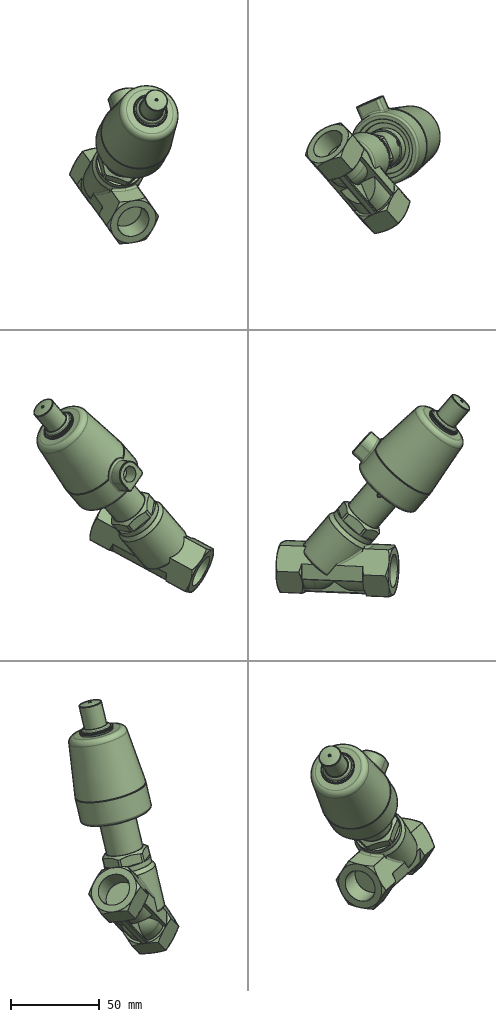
import cadquery as cq
import math

STEM_ANGLE = 50.0
SIN_STEM = math.sin(math.radians(STEM_ANGLE))
COS_STEM = math.cos(math.radians(STEM_ANGLE))

PIPE_LENGTH = 65.0
PIPE_START = -21.4
PIPE_END = PIPE_START + PIPE_LENGTH
HEX_FLATS = 27.0
HEX_CORNERS = HEX_FLATS / math.cos(math.radians(30))
HEX_LENGTH = 15.0
HEX_CHAMFER_ANGLE = 30.0
PORT_DIAMETER = 18.7
PORT_DEPTH = 12.7
WAIST_WIDTH = 26.2
WAIST_BOTTOM = -4.5
WAIST_OVERLAP = 2.3
TUNNEL_RADIUS = 12.0
RIB_WIDTH = 4.0
RIB_CHAMFER = 0.6

BARREL_RADIUS = 15.0
BARREL_BOTTOM = 3.5
BARREL_TOP = 30.8
BARREL_BOTTOM_FILLET = 1.2
BARREL_CHAMFER_HEIGHT = 2.5
BARREL_CHAMFER_WIDTH = 1.5
BARREL_ROOT_FILLET = 1.2

NUT_RADIUS = BARREL_RADIUS - BARREL_CHAMFER_WIDTH
NUT_FLATS = 24.0
NUT_HEX_BOTTOM = 34.0
NUT_SHOULDER = 39.0
NUT_TOP = 40.6
NUT_TOP_RADIUS = 10.8
SEAM_TURN = 10.0

TUBE_RADIUS = 10.49
VENT_DIAMETER = 2.5
VENT_HEIGHT = 58.6
VENT_DEPTH = 2.3

ACTUATOR_RADIUS = 20.5
SLEEVE_RADIUS = 11.4
SLEEVE_BOTTOM = 59.3
BASE_BOTTOM = 61.7
BASE_FILLET = 1.4
RECESS_RADIUS = 16.98
RECESS_DEPTH = 1.5
INNER_RECESS_RADIUS = 14.6
INNER_RECESS_DEPTH = 4.0
SEAM_HEIGHT = 76.7
SEAM_WIDTH = 0.5
SEAM_DEPTH = 0.2

BOSS_RADIUS = 7.36
BOSS_CENTER = 72.8
BOSS_BOTTOM = 65.3
BOSS_REACH = 27.7
BOSS_CORNER_FILLET = 1.7
BOSS_EDGE_CHAMFER = 0.5
BOSS_ROOT_FILLET = 1.2
BOSS_CLEARANCE = 1.4
AIR_HOLE_DIAMETER = 9.0
AIR_HOLE_DEPTH = 8.1

CAP_TOP = 111.6
CAP_TOP_RADIUS = 16.6
CAP_FILLET = 3.5

STEM_RADIUS = 6.5
STEM_CHAMFER = 0.3
STEM_TOP = 128.5
DOME_HEIGHT = 0.7
TIP_HOLE_DIAMETER = 1.5
TIP_HOLE_DEPTH = 1.2

STEM_PLANE = cq.Plane(
    origin=(0, 0, 0),
    xDir=(-SIN_STEM, 0, COS_STEM),
    normal=(COS_STEM, 0, SIN_STEM),
)


def tilt(part):
    """Move a part from the stem frame to its place on the valve."""
    return cq.Workplane(obj=part.val().moved(cq.Location(STEM_PLANE)))


def cylinder(radius, bottom, top):
    return cq.Workplane("XY").workplane(offset=bottom).circle(radius).extrude(top - bottom)


def revolved(profile):
    """Revolve a (radius, height) outline about the local Z axis, with the seam on the -X side."""
    outline = [(-radius, height) for radius, height in profile]
    return cq.Workplane("XZ").polyline(outline).close().revolve(360, (0, 0, 0), (0, 1, 0))


def x_cylinder(radius, start, end):
    return cq.Workplane("YZ").workplane(offset=start).circle(radius).extrude(end - start)


def x_hexagon(start, end):
    """Hexagon bar along X with flats at top and bottom."""
    return cq.Workplane("YZ").workplane(offset=start).polygon(6, HEX_CORNERS).extrude(end - start)


def hexagon_end(start):
    """Hexagon with conical chamfers on the corners of both ends."""
    end = start + HEX_LENGTH
    face_radius = HEX_FLATS / 2
    corner_radius = HEX_CORNERS / 2
    chamfer_length = (corner_radius - face_radius) * math.tan(math.radians(HEX_CHAMFER_ANGLE))
    envelope = (
        cq.Workplane("XZ")
        .polyline([
            (start, 0),
            (start, face_radius),
            (start + chamfer_length, corner_radius),
            (end - chamfer_length, corner_radius),
            (end, face_radius),
            (end, 0),
        ])
        .close()
        .revolve(360, (0, 0, 0), (1, 0, 0))
    )
    return x_hexagon(start, end).intersect(envelope)


def waist():
    """Flat-sided block between the hexagon ends, with the hexagon's roof."""
    start = PIPE_START + HEX_LENGTH - WAIST_OVERLAP
    length = PIPE_LENGTH - 2 * (HEX_LENGTH - WAIST_OVERLAP)
    height = HEX_FLATS / 2 - WAIST_BOTTOM
    block = cq.Workplane("XY").box(length, WAIST_WIDTH, height, centered=(False, True, False))
    block = block.translate((start, 0, WAIST_BOTTOM))
    return x_hexagon(start, start + length).intersect(block)


def barrel():
    shoulder = BARREL_TOP - BARREL_CHAMFER_HEIGHT
    outline = revolved([
        (0, BARREL_BOTTOM),
        (BARREL_RADIUS, BARREL_BOTTOM),
        (BARREL_RADIUS, shoulder),
        (NUT_RADIUS, BARREL_TOP),
        (0, BARREL_TOP),
    ])
    return tilt(outline.faces("<Z").edges().fillet(BARREL_BOTTOM_FILLET))


def passages():
    """Inlet passage with a ball end, and outlet passage cut off in the plane of the barrel bottom."""
    inlet = x_cylinder(TUNNEL_RADIUS, PIPE_START + HEX_LENGTH, 0)
    inlet = inlet.union(cq.Workplane("XY").sphere(TUNNEL_RADIUS))
    outlet = x_cylinder(TUNNEL_RADIUS, 0, PIPE_END - HEX_LENGTH)
    above_seat = tilt(cylinder(PIPE_LENGTH, BARREL_BOTTOM, BARREL_BOTTOM + PIPE_LENGTH))
    return inlet.union(outlet.intersect(above_seat))


def rib():
    """Web under the passages, joining the hexagon ends."""
    length = PIPE_LENGTH - 2 * HEX_LENGTH
    height = HEX_FLATS / 2 + WAIST_BOTTOM
    web = cq.Workplane("XY").box(length, RIB_WIDTH, height, centered=(False, True, False))
    web = web.faces("<Z").edges("|X").chamfer(RIB_CHAMFER)
    return web.translate((PIPE_START + HEX_LENGTH, 0, -HEX_FLATS / 2))


def barrel_root_edges():
    """Selector for the curved edges where the outlet side of the barrel leaves the roof of the waist."""
    roof_height = HEX_FLATS / 2
    return cq.selectors.BoxSelector(
        (0, -WAIST_WIDTH / 2 - 0.1, 0),
        (PIPE_END - HEX_LENGTH + WAIST_OVERLAP, WAIST_WIDTH / 2 + 0.1, roof_height + 0.1),
        boundingbox=True,
    )


def make_body():
    body = hexagon_end(PIPE_START).union(hexagon_end(PIPE_END - HEX_LENGTH))
    body = body.union(waist()).union(passages()).union(rib()).union(barrel())
    body = body.edges("%ELLIPSE").edges(barrel_root_edges()).fillet(BARREL_ROOT_FILLET)
    port_radius = PORT_DIAMETER / 2
    body = body.cut(x_cylinder(port_radius, PIPE_START, PIPE_START + PORT_DEPTH))
    return body.cut(x_cylinder(port_radius, PIPE_END - PORT_DEPTH, PIPE_END))


def make_nut():
    """Round collar below a chamfered hexagon, bored for the tube."""
    envelope = revolved([
        (0, BARREL_TOP),
        (NUT_RADIUS, BARREL_TOP),
        (NUT_RADIUS, NUT_SHOULDER),
        (NUT_TOP_RADIUS, NUT_TOP),
        (0, NUT_TOP),
    ])
    corners = NUT_FLATS / math.cos(math.radians(30))
    hexagon = (
        cq.Workplane("XY")
        .workplane(offset=NUT_HEX_BOTTOM)
        .polygon(6, corners)
        .extrude(NUT_TOP - NUT_HEX_BOTTOM)
    )
    envelope = envelope.rotate((0, 0, 0), (0, 0, 1), SEAM_TURN)
    collar = cylinder(NUT_RADIUS, BARREL_TOP, NUT_HEX_BOTTOM).rotate((0, 0, 0), (0, 0, 1), SEAM_TURN)
    bore = cylinder(TUBE_RADIUS, BARREL_TOP, NUT_TOP)
    return tilt(hexagon.intersect(envelope).union(collar).cut(bore))


def make_tube():
    """Tube standing on the barrel, with a vent hole in its -Y side below the sleeve."""
    tube = cylinder(TUBE_RADIUS, BARREL_TOP, BASE_BOTTOM + INNER_RECESS_DEPTH)
    vent = (
        cq.Workplane("XZ", origin=(0, TUBE_RADIUS, VENT_HEIGHT))
        .circle(VENT_DIAMETER / 2)
        .extrude(VENT_DEPTH)
    )
    return tilt(tube.cut(vent))


def boss_prism(start, margin=0.0):
    """Arch-shaped block pointing along local X, grown all round by the margin."""
    half_width = BOSS_RADIUS + margin
    return (
        cq.Workplane("YZ", origin=(start, 0, 0))
        .moveTo(-half_width, BOSS_BOTTOM - margin)
        .lineTo(half_width, BOSS_BOTTOM - margin)
        .lineTo(half_width, BOSS_CENTER)
        .threePointArc((0, BOSS_CENTER + half_width), (-half_width, BOSS_CENTER))
        .close()
        .extrude(BOSS_REACH - start)
    )


def boss_zone():
    """Space kept for the air connection and the fillet at its root."""
    return boss_prism(ACTUATOR_RADIUS / 2, BOSS_CLEARANCE)


def air_connection():
    """Boss with rounded root, together with the piece of actuator wall that carries it."""
    boss = boss_prism(0)
    boss = boss.edges("|X and <Z").fillet(BOSS_CORNER_FILLET)
    boss = boss.faces(">X").edges().chamfer(BOSS_EDGE_CHAMFER)
    boss_top = BOSS_CENTER + BOSS_RADIUS
    wall = revolved([
        (0, BASE_BOTTOM),
        (ACTUATOR_RADIUS, BASE_BOTTOM),
        (ACTUATOR_RADIUS, boss_top + 2 * BOSS_ROOT_FILLET),
        (0, boss_top + 2 * BOSS_ROOT_FILLET),
    ])
    root = cq.selectors.BoxSelector(
        (ACTUATOR_RADIUS / 2, -BOSS_RADIUS - 0.1, BOSS_BOTTOM - 0.1),
        (ACTUATOR_RADIUS + 0.1, BOSS_RADIUS + 0.1, boss_top + 0.1),
        boundingbox=True,
    )
    rounded = wall.union(boss).edges(root).fillet(BOSS_ROOT_FILLET)
    return rounded.intersect(boss_zone())


def make_base():
    base = revolved([
        (0, BASE_BOTTOM),
        (ACTUATOR_RADIUS, BASE_BOTTOM),
        (ACTUATOR_RADIUS, SEAM_HEIGHT - SEAM_WIDTH),
        (ACTUATOR_RADIUS - SEAM_DEPTH, SEAM_HEIGHT - SEAM_WIDTH),
        (ACTUATOR_RADIUS - SEAM_DEPTH, SEAM_HEIGHT),
        (0, SEAM_HEIGHT),
    ])
    base = base.faces("<Z").edges().fillet(BASE_FILLET).union(air_connection())
    recess_floor = BASE_BOTTOM + INNER_RECESS_DEPTH
    base = base.cut(cylinder(RECESS_RADIUS, BASE_BOTTOM, BASE_BOTTOM + RECESS_DEPTH))
    base = base.cut(cylinder(INNER_RECESS_RADIUS, BASE_BOTTOM, recess_floor))
    sleeve = cylinder(SLEEVE_RADIUS, SLEEVE_BOTTOM, recess_floor)
    base = base.union(sleeve.cut(cylinder(TUBE_RADIUS, SLEEVE_BOTTOM, recess_floor)))
    air_hole = (
        cq.Workplane("YZ", origin=(BOSS_REACH - AIR_HOLE_DEPTH, 0, BOSS_CENTER))
        .circle(AIR_HOLE_DIAMETER / 2)
        .extrude(AIR_HOLE_DEPTH)
    )
    return tilt(base.cut(air_hole))


def make_cap():
    """Tapered cap, notched round the air connection, with a stepped ring that guides the stem."""
    cap = revolved([
        (0, SEAM_HEIGHT),
        (ACTUATOR_RADIUS, SEAM_HEIGHT),
        (CAP_TOP_RADIUS, CAP_TOP),
        (0, CAP_TOP),
    ])
    cap = cap.faces(">Z").edges().fillet(CAP_FILLET).cut(boss_zone())
    ring = revolved([
        (STEM_RADIUS, CAP_TOP),
        (9.33, CAP_TOP),
        (9.7, CAP_TOP + 1.0),
        (9.7, CAP_TOP + 1.5),
        (9.3, CAP_TOP + 1.9),
        (8.52, CAP_TOP + 2.1),
        (8.0, CAP_TOP + 2.8),
        (7.01, CAP_TOP + 3.5),
        (STEM_RADIUS, CAP_TOP + 3.5),
    ])
    return tilt(cap.union(ring))


def make_stem():
    """Round stem standing on the cap, with a chamfered rim, a domed end and a small centre hole."""
    rim_radius = STEM_RADIUS - STEM_CHAMFER
    apex = STEM_TOP + DOME_HEIGHT
    dome_radius = (rim_radius ** 2 + DOME_HEIGHT ** 2) / (2 * DOME_HEIGHT)
    half_angle = math.asin(rim_radius / dome_radius) / 2
    dome_middle = (
        dome_radius * math.sin(half_angle),
        apex - dome_radius * (1 - math.cos(half_angle)),
    )
    stem = (
        cq.Workplane("XZ")
        .moveTo(0, CAP_TOP)
        .lineTo(STEM_RADIUS, CAP_TOP)
        .lineTo(STEM_RADIUS, STEM_TOP - STEM_CHAMFER)
        .lineTo(rim_radius, STEM_TOP)
        .threePointArc(dome_middle, (0, apex))
        .close()
        .revolve(360, (0, 0, 0), (0, 1, 0))
    )
    return tilt(stem.cut(cylinder(TIP_HOLE_DIAMETER / 2, apex - TIP_HOLE_DEPTH, apex)))


body = make_body()
nut = make_nut()
tube = make_tube()
base = make_base()
cap = make_cap()
stem = make_stem()

result = cq.Compound.makeCompound(
    [body.val(), nut.val(), tube.val(), base.val(), cap.val(), stem.val()]
)